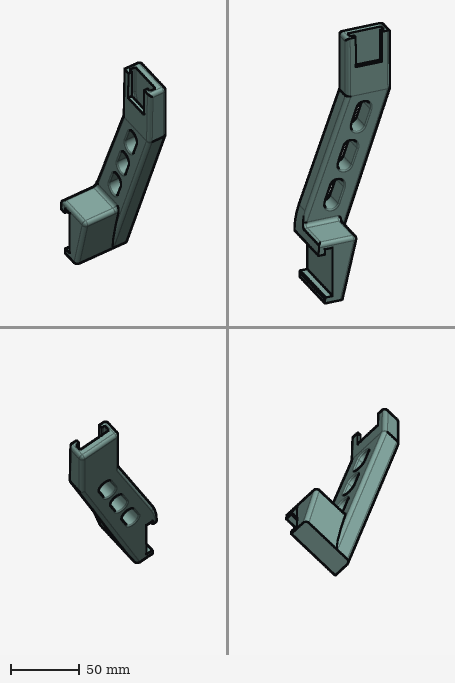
import cadquery as cq
import math

WIDTH = 72.0
DEPTH = 46.0
HEIGHT = 198.1

ARM_THICKNESS = 16.0
EDGE_RADIUS = 3.0
HEAD_TOP_THICKNESS = 15.3
HEAD_BOTTOM = 150.2
FOOT_RIGHT = 20.5

LEFT_LEAN = math.radians(20.1)
HOOK_ARC_RADIUS = 60.0
HOOK_BOTTOM = 40.8
ARC_TOP_X = HOOK_ARC_RADIUS * (1 - math.cos(LEFT_LEAN))
ARC_TOP_Z = HOOK_BOTTOM + HOOK_ARC_RADIUS * math.sin(LEFT_LEAN)
HEAD_LEFT = ARC_TOP_X + (HEAD_BOTTOM - ARC_TOP_Z) * math.tan(LEFT_LEAN)
STRAIGHT_FOOT_X = ARC_TOP_X - ARC_TOP_Z * math.tan(LEFT_LEAN)

SHELF_TOP = 50.3
SHELF_RIGHT = 32.0
ROOT_RADIUS = 3.0
ROOT_TOP = SHELF_TOP + ROOT_RADIUS
ROOT_TOP_RIGHT = FOOT_RIGHT + (SHELF_RIGHT - FOOT_RIGHT) * ROOT_TOP / SHELF_TOP

CHANNEL_WALL_X = 11.3
CHANNEL_BOTTOM = 5.0
CHANNEL_TOP = 45.2
JAW_DEPTH = 6.1
LIP_LEFT = CHANNEL_WALL_X - JAW_DEPTH
LIP_CHAMFER_HEIGHT = 1.4
LIP_CHAMFER_WIDTH = 0.5

SLOT_COUNT = 3
SLOT_LENGTH = 24.8
SLOT_WIDTH = 11.3
SLOT_EDGE_RADIUS = 1.0
SLOT_TOP_X = 47.5
SLOT_TOP_Z = 131.5
SLOT_PITCH = 31.9
SLOT_LEAN = math.radians(19.5)

HEAD_CENTER = (HEAD_LEFT + WIDTH) / 2
WINDOW_WIDTH = 21.0
WINDOW_BOTTOM = 173.5
POCKET_WIDTH = 27.0
POCKET_FRONT_WALL = 3.8
POCKET_THICKNESS = 5.0
POCKET_CENTER_Z = WINDOW_BOTTOM
POCKET_EDGE_RADIUS = 1.0

MATCH_TOLERANCE = 0.02


def prism(sketch, back, front):
    """Extrude an XZ sketch from depth `back` to depth `front`, measured from the back face."""
    return sketch.extrude(front - back).translate((0, -back, 0))


def arm_with_head():
    """Leaning arm and upright head; the front of the head falls back slightly toward the top."""
    outline = (
        cq.Workplane("XZ")
        .moveTo(STRAIGHT_FOOT_X, 0)
        .lineTo(FOOT_RIGHT, 0)
        .lineTo(WIDTH, HEAD_BOTTOM)
        .lineTo(WIDTH, HEIGHT)
        .lineTo(HEAD_LEFT, HEIGHT)
        .lineTo(HEAD_LEFT, HEAD_BOTTOM)
        .close()
    )
    section = (
        cq.Workplane("YZ")
        .lineTo(-ARM_THICKNESS, 0)
        .lineTo(-ARM_THICKNESS, HEAD_BOTTOM)
        .lineTo(-HEAD_TOP_THICKNESS, HEIGHT)
        .lineTo(0, HEIGHT)
        .close()
        .extrude(2 * WIDTH, both=True)
    )
    body = prism(outline, 0, ARM_THICKNESS).intersect(section)
    front_sides = body.edges("not (|X or |Y or >Y)")
    top_corners = body.faces(">Z").edges("|Y")
    return body.newObject(front_sides.vals() + top_corners.vals()).fillet(EDGE_RADIUS)


def clamp_block():
    """Block with its shelf blended into the arm; the shelf rim is rounded on three sides."""
    outline = (
        cq.Workplane("XZ")
        .lineTo(FOOT_RIGHT, 0)
        .lineTo(ROOT_TOP_RIGHT, ROOT_TOP)
        .lineTo(0, ROOT_TOP)
        .close()
    )
    section = (
        cq.Workplane("YZ")
        .lineTo(-DEPTH, 0)
        .lineTo(-DEPTH, SHELF_TOP)
        .lineTo(-ARM_THICKNESS - ROOT_RADIUS, SHELF_TOP)
        .radiusArc((-ARM_THICKNESS, ROOT_TOP), -ROOT_RADIUS)
        .lineTo(0, ROOT_TOP)
        .close()
        .extrude(WIDTH)
    )
    block = prism(outline, 0, DEPTH).intersect(section)
    shelf_rim = block.faces("+Z").faces("<Z").edges("|Y or <Y")
    root_ends = block.edges("%CIRCLE or %ELLIPSE")
    front_right = block.faces("<Y").edges(">X")
    return block.newObject(shelf_rim.vals() + root_ends.vals() + front_right.vals()).fillet(EDGE_RADIUS)


def trim_left(part):
    """Cut away everything left of the flank, its arc and the upright below it."""
    keep = (
        cq.Workplane("XZ")
        .lineTo(0, HOOK_BOTTOM)
        .radiusArc((ARC_TOP_X, ARC_TOP_Z), HOOK_ARC_RADIUS)
        .lineTo(HEAD_LEFT, HEAD_BOTTOM)
        .lineTo(HEAD_LEFT, HEIGHT)
        .lineTo(WIDTH, HEIGHT)
        .lineTo(WIDTH, 0)
        .close()
    )
    return part.intersect(prism(keep, 0, DEPTH))


def round_back(part):
    """Round the rim of the back face except along the foot."""
    rim = part.faces(">Y").edges("not <Z")
    return rim.fillet(EDGE_RADIUS)


def rail_channel():
    """Everything left of the clamp jaws, with a small chamfer on top of the lower lip."""
    outline = (
        cq.Workplane("XZ")
        .lineTo(LIP_LEFT, 0)
        .lineTo(LIP_LEFT, CHANNEL_BOTTOM - LIP_CHAMFER_HEIGHT)
        .lineTo(LIP_LEFT + LIP_CHAMFER_WIDTH, CHANNEL_BOTTOM)
        .lineTo(CHANNEL_WALL_X, CHANNEL_BOTTOM)
        .lineTo(CHANNEL_WALL_X, CHANNEL_TOP)
        .lineTo(LIP_LEFT, CHANNEL_TOP)
        .lineTo(LIP_LEFT, HOOK_BOTTOM)
        .lineTo(0, HOOK_BOTTOM)
        .close()
    )
    return prism(outline, 0, DEPTH)


def matching_edges(part, edges):
    """Edges of `part` that share their centers with the given edges."""
    centers = [edge.Center() for edge in edges.vals()]
    return [
        edge
        for edge in part.edges().vals()
        if any((edge.Center() - center).Length < MATCH_TOLERANCE for center in centers)
    ]


def cut_slots(part):
    """Cut the row of slots through the arm and round their rims on both faces."""
    for i in range(SLOT_COUNT):
        x = SLOT_TOP_X - i * SLOT_PITCH * math.sin(SLOT_LEAN)
        z = SLOT_TOP_Z - i * SLOT_PITCH * math.cos(SLOT_LEAN)
        slot = (
            cq.Workplane("XZ")
            .center(x, z)
            .slot2D(SLOT_LENGTH, SLOT_WIDTH, 90 - math.degrees(SLOT_LEAN))
            .extrude(ARM_THICKNESS)
        )
        part = part.cut(slot)
        for face in ("<Y", ">Y"):
            rim = slot.faces(face).edges()
            part = part.newObject(matching_edges(part, rim)).fillet(SLOT_EDGE_RADIUS)
    return part


def token_pocket():
    """Round-bottomed pocket open at the top, with its narrower window to the front."""
    outline = (
        cq.Workplane("XZ")
        .moveTo(HEAD_CENTER - POCKET_WIDTH / 2, HEIGHT)
        .lineTo(HEAD_CENTER - POCKET_WIDTH / 2, POCKET_CENTER_Z)
        .threePointArc(
            (HEAD_CENTER, POCKET_CENTER_Z - POCKET_WIDTH / 2),
            (HEAD_CENTER + POCKET_WIDTH / 2, POCKET_CENTER_Z),
        )
        .lineTo(HEAD_CENTER + POCKET_WIDTH / 2, HEIGHT)
        .close()
    )
    front = ARM_THICKNESS - POCKET_FRONT_WALL
    pocket = prism(outline, front - POCKET_THICKNESS, front)
    pocket = pocket.faces("<Y or >Y").edges("not >Z").fillet(POCKET_EDGE_RADIUS)
    window_height = HEIGHT - WINDOW_BOTTOM
    window_depth = POCKET_FRONT_WALL + POCKET_THICKNESS / 2
    window = cq.Workplane("XY").box(WINDOW_WIDTH, window_depth, window_height, centered=(True, False, False))
    return pocket.union(window.translate((HEAD_CENTER, -ARM_THICKNESS, WINDOW_BOTTOM)))


result = arm_with_head().union(clamp_block())
result = trim_left(result)
result = round_back(result)
result = result.cut(rail_channel())
result = cut_slots(result)
result = result.cut(token_pocket())